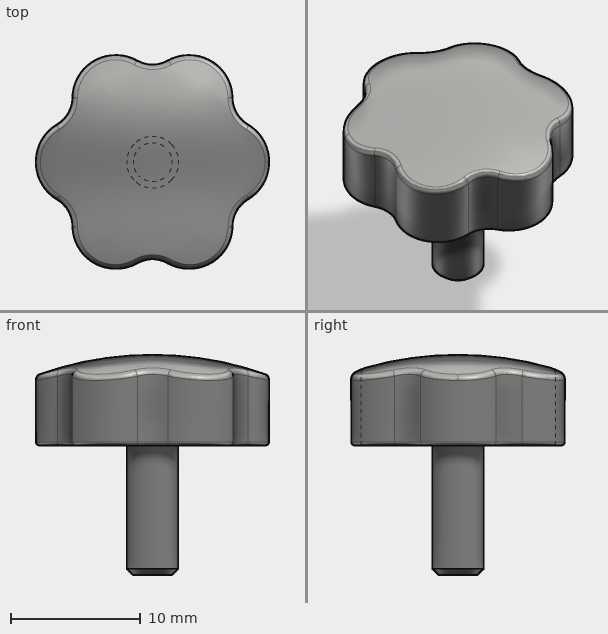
import cadquery as cq
import math

head_diameter = 18.0
head_height = 7.0
lobe_count = 6
lobe_radius = 3.37
valley_distance = 7.5
dome_radius = 25.92
top_fillet = 0.5
bottom_fillet = 0.3
stud_diameter = 4.0
stud_length = 9.99
tip_chamfer = 0.5

lobe_center = head_diameter / 2 - lobe_radius
half_pitch = math.pi / lobe_count
valley_radius = (
    lobe_center**2 + valley_distance**2 - lobe_radius**2
    - 2 * lobe_center * valley_distance * math.cos(half_pitch)
) / (2 * (lobe_radius - valley_distance + lobe_center * math.cos(half_pitch)))
valley_center = valley_distance + valley_radius


def polar(radius, angle):
    return (radius * math.cos(angle), radius * math.sin(angle))


def tangent_point(lobe_angle, side):
    """Point where a lobe meets the valley on its given side (+1 or -1)."""
    lobe = polar(lobe_center, lobe_angle)
    valley = polar(valley_center, lobe_angle + side * half_pitch)
    share = lobe_radius / (lobe_radius + valley_radius)
    return tuple(a + share * (b - a) for a, b in zip(lobe, valley))


def lobed_outline():
    """Closed outline of alternating convex lobes and concave valleys."""
    outline = cq.Workplane("XY").moveTo(*tangent_point(0, -1))
    for i in range(lobe_count):
        angle = 2 * half_pitch * i
        next_angle = angle + 2 * half_pitch
        outline = outline.threePointArc(polar(head_diameter / 2, angle), tangent_point(angle, 1))
        outline = outline.threePointArc(
            polar(valley_distance, angle + half_pitch), tangent_point(next_angle, -1)
        )
    return outline.close()


def make_head():
    """Lobed grip with a domed top and rounded rims, standing on Z = 0."""
    blank = lobed_outline().extrude(head_height)
    dome = cq.Workplane("XY").sphere(dome_radius).translate((0, 0, head_height - dome_radius))
    head = blank.intersect(dome)
    head = head.faces("<Z").edges().fillet(bottom_fillet)
    return head.faces("%SPHERE").edges().fillet(top_fillet)


def make_stud():
    """Stud hanging below the head, chamfered at its tip."""
    stud = cq.Workplane("XY").circle(stud_diameter / 2).extrude(-stud_length)
    return stud.faces("<Z").chamfer(tip_chamfer)


result = make_head().union(make_stud())